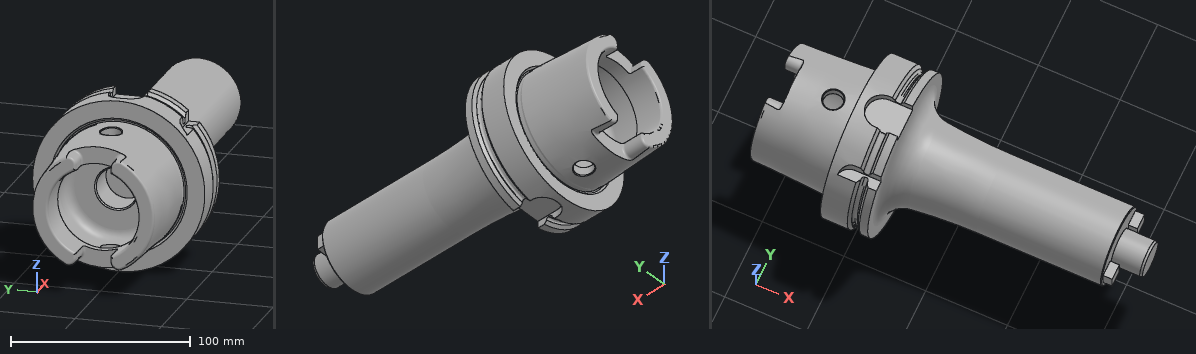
import cadquery as cq
import math


SHANK_LENGTH = 50.0
GAUGE_RADIUS = 37.5
GAUGE_X = -10.0
TAPER = 0.05
SHANK_EDGE_RADIUS = 1.5
RELIEF_LENGTH = 2.7
RELIEF_RUN_IN = 1.2
RELIEF_DEPTH = 0.3
FACE_GROOVE_RADIUS = 39.8
FACE_GROOVE_FLOOR_RADIUS = 38.5
FACE_GROOVE_DEPTH = 1.3
BORE_RADIUS = 26.2
BORE_LIP_X = -31.0
CAVITY_RADIUS = 31.5
CAVITY_FLOOR_X = -4.0
CAVITY_FLOOR_FILLET = 7.0
COOLANT_RADIUS = 12.0
COOLANT_DEPTH = 20.0
COOLANT_CHAMFER = 0.75
CROSS_HOLE_RADIUS = 6.0
CROSS_HOLE_X = -15.0
CROSS_HOLE_CHAMFER = 0.5

SLOT_WIDTH = 20.0
UPPER_SLOT_DEPTH = 10.0
LOWER_SLOT_DEPTH = 15.0
SLOT_CORNER_RADIUS = 4.5
SLOT_FLOOR_RADIUS = 1.5

FLANGE_RADIUS = 50.0
FLANGE_LENGTH = 29.0
GROOVE_CENTER_X = 20.2
GROOVE_MOUTH_WIDTH = 7.4
GROOVE_WIDTH = 3.9
GROOVE_BEVEL_DEPTH = 2.0
GROOVE_FLOOR_RADIUS = 46.2
GROOVE_FILLET = 1.3
KEYWAY_WIDTH = 20.0
KEYWAY_START_X = 5.0
KEYWAY_FLOOR = 44.0
NOTCH_START_X = 5.0
NOTCH_CUTTER_RADIUS = 8.0
NOTCH_OFFSET = 32.0

NECK_END_X = 43.4
NECK_RADIUS = 26.4
BODY_START_X = 84.0
BODY_RADIUS = 24.0
BODY_END_X = 160.0
BODY_CHAMFER = 0.5
PILOT_RADIUS = 11.0
PILOT_LENGTH = 19.0
PILOT_CHAMFER_LENGTH = 1.5
PILOT_CHAMFER_DEPTH = 0.5
KEY_WIDTH = 10.0
KEY_HEIGHT = 5.6
KEY_INNER = 12.0
KEY_OUTER = 21.6
KEY_EMBED = 1.0


def revolve_about_x(profile):
    return profile.close().revolve(360, (0, 0, 0), (1, 0, 0))


def box_between(x, y, z):
    """Box spanning the given (low, high) pair on each axis."""
    size = [high - low for low, high in (x, y, z)]
    return cq.Workplane("XY").box(*size, centered=False).translate((x[0], y[0], z[0]))


def taper_radius(x):
    return GAUGE_RADIUS + TAPER * (x - GAUGE_X)


def make_shank():
    shank = revolve_about_x(
        cq.Workplane("XY")
        .moveTo(-SHANK_LENGTH, BORE_RADIUS)
        .lineTo(-SHANK_LENGTH, taper_radius(-SHANK_LENGTH))
        .lineTo(0, taper_radius(0))
        .lineTo(0, 0)
        .lineTo(BORE_LIP_X, 0)
        .lineTo(BORE_LIP_X, BORE_RADIUS)
    )
    shank = shank.cut(make_cross_hole())
    shank = shank.faces("%CONE").edges("%BSPLINE").chamfer(CROSS_HOLE_CHAMFER)
    for depth, side in ((UPPER_SLOT_DEPTH, 1), (LOWER_SLOT_DEPTH, -1)):
        shank = shank.cut(make_drive_slot(depth, side))
    return shank.faces("<X").edges().fillet(SHANK_EDGE_RADIUS)


def make_drive_slot(depth, side):
    """Slot open to the shank end, flaring outwards along rounded corners."""
    half = SLOT_WIDTH / 2
    end_radius = taper_radius(-SHANK_LENGTH)
    arc_y = half + SLOT_CORNER_RADIUS
    arc_z = math.sqrt((end_radius - SLOT_CORNER_RADIUS) ** 2 - arc_y ** 2)
    top_z = arc_z + SLOT_CORNER_RADIUS
    diagonal = SLOT_CORNER_RADIUS * math.sqrt(0.5)
    slot = (
        cq.Workplane("YZ", origin=(-SHANK_LENGTH, 0, 0))
        .moveTo(-half, 0)
        .lineTo(half, 0)
        .lineTo(half, arc_z)
        .threePointArc((arc_y - diagonal, arc_z + diagonal), (arc_y, top_z))
        .lineTo(GAUGE_RADIUS, top_z)
        .lineTo(GAUGE_RADIUS, FLANGE_RADIUS)
        .lineTo(-GAUGE_RADIUS, FLANGE_RADIUS)
        .lineTo(-GAUGE_RADIUS, top_z)
        .lineTo(-arc_y, top_z)
        .threePointArc((diagonal - arc_y, arc_z + diagonal), (-half, arc_z))
        .close()
        .extrude(depth)
        .faces(">X")
        .edges("not <Z")
        .edges("not >Z")
        .fillet(SLOT_FLOOR_RADIUS)
    )
    if side < 0:
        slot = slot.mirror("XY")
    return slot


def make_taper_relief():
    """Shallow undercut round the root of the taper and into the flange face."""
    start_radius = taper_radius(-RELIEF_LENGTH)
    floor_radius = start_radius - RELIEF_DEPTH
    return revolve_about_x(
        cq.Workplane("XY")
        .moveTo(-RELIEF_LENGTH, start_radius)
        .lineTo(RELIEF_RUN_IN - RELIEF_LENGTH, floor_radius)
        .lineTo(FACE_GROOVE_DEPTH, floor_radius)
        .lineTo(FACE_GROOVE_DEPTH, FACE_GROOVE_FLOOR_RADIUS)
        .lineTo(0, FACE_GROOVE_RADIUS)
        .lineTo(0, taper_radius(0))
    )


def make_cavity():
    """Clamping cavity behind the bore lip, with a coolant bore in its floor."""
    fillet_x = CAVITY_FLOOR_X - CAVITY_FLOOR_FILLET
    floor_radius = CAVITY_RADIUS - CAVITY_FLOOR_FILLET
    return revolve_about_x(
        cq.Workplane("XY")
        .moveTo(-SHANK_LENGTH, 0)
        .lineTo(-SHANK_LENGTH, BORE_RADIUS)
        .lineTo(BORE_LIP_X, BORE_RADIUS)
        .lineTo(BORE_LIP_X, CAVITY_RADIUS)
        .lineTo(fillet_x, CAVITY_RADIUS)
        .radiusArc((CAVITY_FLOOR_X, floor_radius), CAVITY_FLOOR_FILLET)
        .lineTo(CAVITY_FLOOR_X, COOLANT_RADIUS + COOLANT_CHAMFER)
        .lineTo(CAVITY_FLOOR_X + COOLANT_CHAMFER, COOLANT_RADIUS)
        .lineTo(CAVITY_FLOOR_X + COOLANT_DEPTH, COOLANT_RADIUS)
        .lineTo(CAVITY_FLOOR_X + COOLANT_DEPTH, 0)
    )


def make_core():
    """Flange, curved neck, cylindrical body and pilot."""
    run = BODY_START_X - NECK_END_X
    rise = NECK_RADIUS - BODY_RADIUS
    blend_radius = (run ** 2 + rise ** 2) / (2 * rise)
    slope = math.asin(run / blend_radius)
    blend_middle = (
        BODY_START_X - blend_radius * math.sin(slope / 2),
        BODY_RADIUS + blend_radius * (1 - math.cos(slope / 2)),
    )
    fillet = (NECK_END_X - FLANGE_LENGTH) / (1 - math.sin(slope))
    fillet_center = (FLANGE_LENGTH + fillet, NECK_RADIUS + fillet * math.cos(slope))
    middle_angle = (math.pi / 2 - slope) / 2
    fillet_middle = (
        fillet_center[0] - fillet * math.cos(middle_angle),
        fillet_center[1] - fillet * math.sin(middle_angle),
    )
    pilot_end = BODY_END_X + PILOT_LENGTH
    return revolve_about_x(
        cq.Workplane("XY")
        .moveTo(0, 0)
        .lineTo(0, FLANGE_RADIUS)
        .lineTo(FLANGE_LENGTH, FLANGE_RADIUS)
        .lineTo(FLANGE_LENGTH, fillet_center[1])
        .threePointArc(fillet_middle, (NECK_END_X, NECK_RADIUS))
        .threePointArc(blend_middle, (BODY_START_X, BODY_RADIUS))
        .lineTo(BODY_END_X - BODY_CHAMFER, BODY_RADIUS)
        .lineTo(BODY_END_X, BODY_RADIUS - BODY_CHAMFER)
        .lineTo(BODY_END_X, PILOT_RADIUS)
        .lineTo(pilot_end - PILOT_CHAMFER_LENGTH, PILOT_RADIUS)
        .lineTo(pilot_end, PILOT_RADIUS - PILOT_CHAMFER_DEPTH)
        .lineTo(pilot_end, 0)
    )


def make_gripper_groove():
    """Ring groove with bevelled mouth and rounded floor corners."""
    half_mouth = GROOVE_MOUTH_WIDTH / 2
    half = GROOVE_WIDTH / 2
    shoulder = FLANGE_RADIUS - GROOVE_BEVEL_DEPTH
    half_floor = half - GROOVE_FILLET
    fillet_top = GROOVE_FLOOR_RADIUS + GROOVE_FILLET
    return revolve_about_x(
        cq.Workplane("XY", origin=(GROOVE_CENTER_X, 0, 0))
        .moveTo(-half_mouth, FLANGE_RADIUS)
        .lineTo(-half, shoulder)
        .lineTo(-half, fillet_top)
        .radiusArc((-half_floor, GROOVE_FLOOR_RADIUS), -GROOVE_FILLET)
        .lineTo(half_floor, GROOVE_FLOOR_RADIUS)
        .radiusArc((half, fillet_top), -GROOVE_FILLET)
        .lineTo(half, shoulder)
        .lineTo(half_mouth, FLANGE_RADIUS)
    )


def make_flange_keyway(side):
    """Round-ended keyway running out through the rear face of the flange."""
    half = KEYWAY_WIDTH / 2
    keyway = (
        cq.Workplane("XY", origin=(0, 0, KEYWAY_FLOOR))
        .moveTo(FLANGE_LENGTH, -half)
        .lineTo(KEYWAY_START_X + half, -half)
        .threePointArc((KEYWAY_START_X, 0), (KEYWAY_START_X + half, half))
        .lineTo(FLANGE_LENGTH, half)
        .close()
        .extrude(FLANGE_RADIUS - KEYWAY_FLOOR)
    )
    if side < 0:
        keyway = keyway.mirror("XY")
    return keyway


def make_orientation_notch():
    """Square-cornered notch in the -Y, +Z quarter of the flange with a rounded run-out."""
    straight_x = NOTCH_START_X + NOTCH_CUTTER_RADIUS
    center_y = -NOTCH_OFFSET - NOTCH_CUTTER_RADIUS
    height = FLANGE_RADIUS - NOTCH_OFFSET
    straight = box_between(
        (straight_x, FLANGE_LENGTH), (-FLANGE_RADIUS, -NOTCH_OFFSET), (NOTCH_OFFSET, FLANGE_RADIUS)
    )
    run_out = (
        cq.Workplane("XY", origin=(straight_x, center_y, NOTCH_OFFSET))
        .circle(NOTCH_CUTTER_RADIUS)
        .extrude(height)
    )
    return straight.union(run_out)


def make_drive_key(side):
    y_range = sorted((side * KEY_INNER, side * KEY_OUTER))
    x_range = (BODY_END_X - KEY_EMBED, BODY_END_X + KEY_HEIGHT)
    return box_between(x_range, y_range, (-KEY_WIDTH / 2, KEY_WIDTH / 2))


def make_cross_hole():
    return (
        cq.Workplane("XY", origin=(CROSS_HOLE_X, 0, 0))
        .circle(CROSS_HOLE_RADIUS)
        .extrude(FLANGE_RADIUS, both=True)
    )


result = make_core()
for side in (1, -1):
    result = result.cut(make_flange_keyway(side))
    result = result.union(make_drive_key(side))
result = result.cut(make_gripper_groove())
result = result.cut(make_orientation_notch())

result = result.union(make_shank())
result = result.cut(make_cavity()).cut(make_cross_hole()).cut(make_taper_relief())